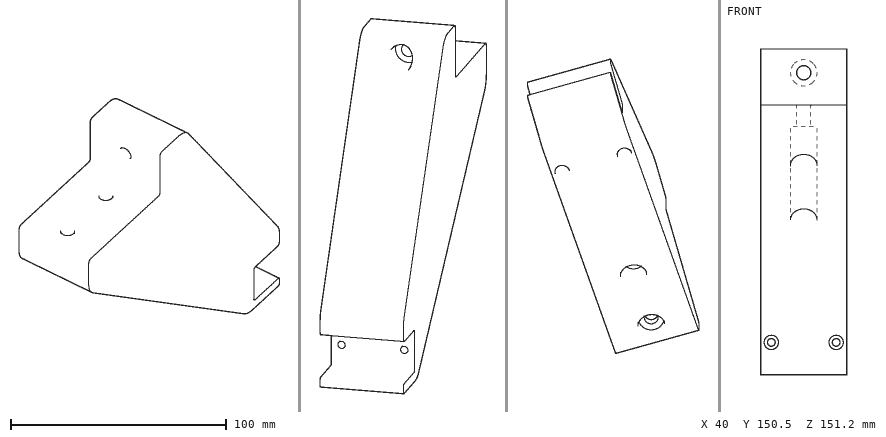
import cadquery as cq

WIDTH = 40.0
DEPTH = 150.5
HEIGHT = 151.2

LEDGE_Z = 125.2
UPRIGHT_Y = 56.1

UNDERSIDE_FRONT_Z = 105.2
UNDERSIDE_BASE_Y = 125.2
BACK_TOP_Y = 76.0
BACK_REAR_Z = 35.4

LIP_THICKNESS = 4.8
SLOT_HEIGHT = 20.4
SLOT_WALL_Y = 130.2
SLOT_TOP_Z = LIP_THICKNESS + SLOT_HEIGHT

SLOPE_RADIUS = 10.0
STEP_RADIUS = 2.0
SMALL_RADIUS = 1.0

BOLT_HOLE_D = 6.5
BOLT_HEAD_D = 12.2
BOLT_SEAT = 10.0
LEDGE_BOLT_PITCH = 30.1
LEDGE_BOLT_FRONT_Y = 10.9
UPRIGHT_BOLT_Z = 140.2

SCREW_HOLE_D = 3.5
SCREW_HEAD_D = 6.7
SCREW_SEAT = 10.0
SCREW_PITCH = 30.1
SCREW_Z = LIP_THICKNESS + SLOT_HEIGHT / 2

MOUTH_RADIUS = 0.9

ENTRY_RADIUS = 0.3


def make_body():
    """Extrude the side profile across the width and round its corners."""
    corners = [
        (0, UNDERSIDE_FRONT_Z, SLOPE_RADIUS),
        (0, LEDGE_Z, STEP_RADIUS),
        (UPRIGHT_Y, LEDGE_Z, SMALL_RADIUS),
        (UPRIGHT_Y, HEIGHT, STEP_RADIUS),
        (BACK_TOP_Y, HEIGHT, SLOPE_RADIUS),
        (DEPTH, BACK_REAR_Z, SLOPE_RADIUS),
        (DEPTH, SLOT_TOP_Z, STEP_RADIUS),
        (SLOT_WALL_Y, SLOT_TOP_Z, SMALL_RADIUS),
        (SLOT_WALL_Y, LIP_THICKNESS, SMALL_RADIUS),
        (DEPTH, LIP_THICKNESS, SMALL_RADIUS),
        (DEPTH, 0, SMALL_RADIUS),
        (UNDERSIDE_BASE_Y, 0, SLOPE_RADIUS),
    ]
    outline = [(y, z) for y, z, _ in corners]
    body = cq.Workplane("YZ").polyline(outline).close().extrude(WIDTH / 2, both=True)
    for y, z, radius in corners:
        edge = cq.selectors.NearestToPointSelector((0, y, z))
        body = body.edges("|X").edges(edge).fillet(radius)
    return body


def stepped_bore(seat_face, direction, hole_d, head_d, seat):
    """Clearance hole starting at seat_face, widening to the head bore past the seat."""
    start = cq.Vector(*seat_face)
    axis = cq.Vector(*direction)
    hole = cq.Solid.makeCylinder(hole_d / 2, seat, start, axis)
    head = cq.Solid.makeCylinder(head_d / 2, HEIGHT, start + axis * seat, axis)
    return cq.Workplane(hole.fuse(head))


def round_mouth(body, centre):
    """Round the bore rim lying on a sloping face around the given centre."""
    rim = body.edges("%ELLIPSE").edges(cq.selectors.NearestToPointSelector(centre))
    return rim.fillet(MOUTH_RADIUS)


def round_entry(body, centre):
    """Round the circular rim where a bolt hole starts at the given centre."""
    rim = body.edges("%CIRCLE").edges(cq.selectors.NearestToPointSelector(centre))
    return rim.fillet(ENTRY_RADIUS)


def underside_z(y):
    return UNDERSIDE_FRONT_Z * (1 - y / UNDERSIDE_BASE_Y)


def underside_y(z):
    return UNDERSIDE_BASE_Y * (1 - z / UNDERSIDE_FRONT_Z)


def back_y(z):
    return BACK_TOP_Y + (DEPTH - BACK_TOP_Y) * (HEIGHT - z) / (HEIGHT - BACK_REAR_Z)


result = make_body()

for bolt_y in (LEDGE_BOLT_FRONT_Y, LEDGE_BOLT_FRONT_Y + LEDGE_BOLT_PITCH):
    entry = (0, bolt_y, LEDGE_Z)
    result = result.cut(stepped_bore(entry, (0, 0, -1), BOLT_HOLE_D, BOLT_HEAD_D, BOLT_SEAT))
    result = round_mouth(result, (0, bolt_y, underside_z(bolt_y)))
    result = round_entry(result, entry)

entry = (0, UPRIGHT_Y, UPRIGHT_BOLT_Z)
result = result.cut(stepped_bore(entry, (0, 1, 0), BOLT_HOLE_D, BOLT_HEAD_D, BOLT_SEAT))
result = round_mouth(result, (0, back_y(UPRIGHT_BOLT_Z), UPRIGHT_BOLT_Z))
result = round_entry(result, entry)

for screw_x in (-SCREW_PITCH / 2, SCREW_PITCH / 2):
    entry = (screw_x, SLOT_WALL_Y, SCREW_Z)
    result = result.cut(stepped_bore(entry, (0, -1, 0), SCREW_HOLE_D, SCREW_HEAD_D, SCREW_SEAT))
    result = round_mouth(result, (screw_x, underside_y(SCREW_Z), SCREW_Z))